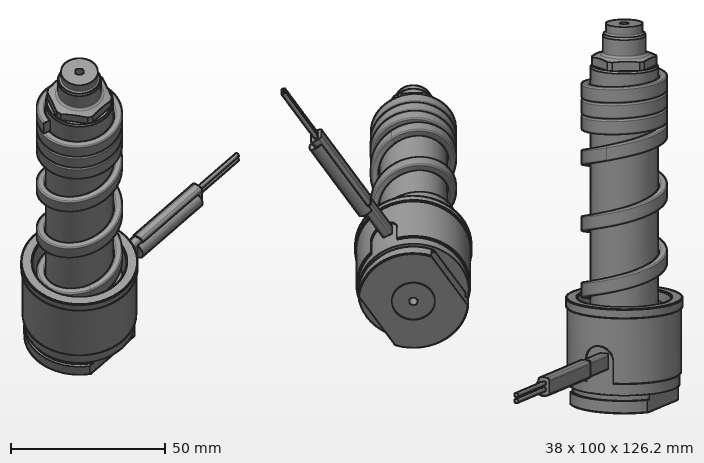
import cadquery as cq
import math

overall_height = 126.2
bore_diameter = 2.8

boss_radius = 7.0
boss_height = 0.3
core_radius = 18.0
base_disc_top = 4.5
base_edge_chamfer = 0.3
neck_radius = 17.0
core_bottom = 6.4
flats_width = 28.0

housing_radius = 18.55
housing_bottom = 10.2
flange_radius = 19.0
flange_bottom = 32.05
housing_top = 35.3
housing_chamfer = 0.3
pocket_radius = 15.2
pocket_rim_chamfer = 0.4

cable_axis_z = 17.5
slot_radius = 5.0

tube_radius = 11.0
tube_top = 112.4
tube_chamfer_height = 0.7
tube_chamfer_width = 0.4
hex_flats = 19.0
hex_corner_radius = 10.5
hex_cone_bottom = 115.2
collar_radius = 7.05
collar_fillet = 0.8
collar_foot = 116.05
collar_top = 122.1
collar_bevel_height = 0.8
tip_radius = 6.0
tip_fillet = 0.7

spring_outer_radius = 13.93
wire_width = 2.6
wire_height = 5.0
wire_fillet = 0.5
close_pitch = 5.27
open_pitch = 22.0
close_turns = 3.0 + 12 / 360
change_turns = 150 / 360
open_turns = 2.35
spring_end_angle = 253.5
spring_end_z = 107.25

cable_axis_x = -1.45
cable_width = 3.4
cable_height = 5.4
cable_fillet = 0.7
sleeve_wall = 0.3
sleeve_start = 31.0
sleeve_length = 30.0
shrink_radius = 2.75
shrink_x = -0.2
shrink_z = 16.45
shrink_start = 28.9
lead_diameter = 1.5
lead_spacing = 2.0
lead_end = 81.0

tip_foot = collar_top + collar_bevel_height
collar_shoulder_radius = tip_radius + tip_fillet

spring_inner_radius = spring_outer_radius - wire_width
spring_mid_radius = (spring_outer_radius + spring_inner_radius) / 2
mean_change_pitch = (close_pitch + open_pitch) / 2
spring_turns = 2 * (close_turns + change_turns) + open_turns
spring_rise = 2 * (close_turns * close_pitch + change_turns * mean_change_pitch) + open_turns * open_pitch
spring_start_z = spring_end_z - spring_rise
spring_start_angle = spring_end_angle - 360 * spring_turns
wire_bedding = 0.2
pocket_floor = spring_start_z - wire_height / 2 + wire_bedding


def disc(radius, bottom, top):
    """Upright cylinder on the part axis."""
    return cq.Workplane("XY").workplane(offset=bottom).circle(radius).extrude(top - bottom)


def base():
    """Core with a grooved bottom disc that has two flats across X."""
    foot = disc(core_radius, boss_height, base_disc_top).faces("<Z").chamfer(base_edge_chamfer)
    foot = foot.union(disc(neck_radius, base_disc_top, core_bottom))
    between_flats = cq.Workplane("XY").box(flats_width, 2 * flange_radius, 2 * core_bottom)
    foot = foot.intersect(between_flats)
    return foot.union(disc(boss_radius, 0, boss_height)).union(disc(core_radius, core_bottom, flange_bottom))


def housing():
    """Flanged shell with the arched cable slot on +Y."""
    shell = disc(housing_radius, housing_bottom, flange_bottom).faces("<Z").chamfer(housing_chamfer)
    slot_height = cable_axis_z - housing_bottom
    slot = (
        cq.Workplane("XZ", origin=(0, 0, cable_axis_z))
        .moveTo(-slot_radius, -slot_height)
        .lineTo(-slot_radius, 0)
        .threePointArc((0, slot_radius), (slot_radius, 0))
        .lineTo(slot_radius, -slot_height)
        .close()
        .extrude(-flange_radius)
        .cut(disc(core_radius, housing_bottom, flange_bottom))
    )
    flange = disc(flange_radius, flange_bottom, housing_top).faces(">Z or <Z").chamfer(housing_chamfer)
    return shell.cut(slot).union(flange)


def pocket():
    """Round spring pocket with a chamfered rim."""
    well = disc(pocket_radius, pocket_floor, housing_top)
    rim = (
        disc(pocket_radius + pocket_rim_chamfer, housing_top - pocket_rim_chamfer, housing_top)
        .faces("<Z")
        .chamfer(pocket_rim_chamfer * 0.999)
    )
    return well.union(rim)


def stem_tube():
    """Plain tube with a beveled top edge."""
    tube = disc(tube_radius, pocket_floor, tube_top)
    return tube.faces(">Z").chamfer(tube_chamfer_height, tube_chamfer_width)


def hexagon():
    """Hexagon with corners toward +Y and -Y, rounded corners and a conical top."""
    hex_corners = hex_flats / math.cos(math.pi / 6)
    prism = (
        cq.Workplane("XY", origin=(0, 0, tube_top))
        .transformed(rotate=(0, 0, 90))
        .polygon(6, hex_corners)
        .extrude(collar_foot - tube_top)
    )
    envelope = (
        cq.Workplane("XZ")
        .moveTo(0, tube_top)
        .lineTo(hex_corner_radius, tube_top)
        .lineTo(hex_corner_radius, hex_cone_bottom)
        .lineTo(collar_radius + collar_fillet, collar_foot)
        .lineTo(0, collar_foot)
        .close()
        .revolve(360, (0, 0), (0, 1))
    )
    return prism.intersect(envelope)


def collar_and_tip():
    """Collar and tip, each flowing into the shoulder below through a concave fillet."""
    lean = 1 - math.sqrt(0.5)
    return (
        cq.Workplane("XZ")
        .moveTo(0, collar_foot)
        .lineTo(collar_radius + collar_fillet, collar_foot)
        .threePointArc(
            (collar_radius + collar_fillet * lean, collar_foot + collar_fillet * lean),
            (collar_radius, collar_foot + collar_fillet),
        )
        .lineTo(collar_radius, collar_top)
        .lineTo(collar_shoulder_radius, tip_foot)
        .threePointArc(
            (tip_radius + tip_fillet * lean, tip_foot + tip_fillet * lean),
            (tip_radius, tip_foot + tip_fillet),
        )
        .lineTo(tip_radius, overall_height)
        .lineTo(0, overall_height)
        .close()
        .revolve(360, (0, 0), (0, 1))
    )


def wire_section(path):
    """Rounded wire section, upright and radial, at the start of a path on the +X axis."""
    section = cq.Sketch().rect(wire_width, wire_height).vertices().fillet(wire_fillet)
    return cq.Workplane("XZ", origin=path.startPoint().toTuple()).placeSketch(section)


def even_coil(turns, pitch):
    """Right-handed coil of constant pitch that starts on the +X axis at Z = 0."""
    path = cq.Wire.makeHelix(pitch, turns * pitch, spring_mid_radius)
    return wire_section(path).sweep(cq.Workplane(path), isFrenet=True)


def changing_coil(turns, first_pitch, last_pitch):
    """Right-handed coil whose pitch varies linearly, starting on the +X axis at Z = 0."""
    turn_angle = 2 * math.pi

    def path_point(t):
        rise = first_pitch * t + (last_pitch - first_pitch) * t**2 / (2 * turns)
        angle = turn_angle * t
        return cq.Vector(spring_mid_radius * math.cos(angle), spring_mid_radius * math.sin(angle), rise)

    def path_direction(t, pitch):
        speed = turn_angle * spring_mid_radius
        angle = turn_angle * t
        return cq.Vector(-speed * math.sin(angle), speed * math.cos(angle), pitch)

    intervals = 12
    points = [path_point(turns * i / intervals) for i in range(intervals + 1)]
    end_directions = [path_direction(0, first_pitch), path_direction(turns, last_pitch)]
    edge = cq.Edge.makeSpline(points, tangents=end_directions)
    path = cq.Wire.assembleEdges([edge])
    guide = path.translate(cq.Vector(0, 0, wire_height))
    return wire_section(path).sweep(cq.Workplane(path), auxSpine=cq.Workplane(guide))


def spring():
    """Flat-wire spring: close, widening, open, narrowing and close coils end to end."""
    close_coil = even_coil(close_turns, close_pitch)
    stretches = [
        (close_coil, close_turns, close_pitch),
        (changing_coil(change_turns, close_pitch, open_pitch), change_turns, mean_change_pitch),
        (even_coil(open_turns, open_pitch), open_turns, open_pitch),
        (changing_coil(change_turns, open_pitch, close_pitch), change_turns, mean_change_pitch),
        (close_coil, close_turns, close_pitch),
    ]
    sewing_tolerance = 0.005
    skin = []
    end_faces = []
    angle = spring_start_angle
    z = spring_start_z
    for coil, turns, pitch in stretches:
        placed = coil.rotate((0, 0, 0), (0, 0, 1), angle).translate((0, 0, z))
        skin += placed.faces("not %PLANE").vals()
        end_faces += placed.faces("%PLANE").vals()
        angle += 360 * turns
        z += turns * pitch
    end_faces.sort(key=lambda face: face.Center().z)
    skin += [end_faces[0], end_faces[-1]]
    closed_skin = cq.occ_impl.shapes.shell(*skin, tol=sewing_tolerance)
    return cq.Workplane(cq.Solid.makeSolid(closed_skin))


def along_y(x, z, start):
    """Workplane facing -Y at the given start; its solids grow toward +Y with a negative length."""
    return cq.Workplane("XZ", origin=(x, start, z))


def cable():
    """Flat cable with its sleeve, shrink tube and two wires."""
    cable_start = core_radius - 1.0
    jacket = (
        along_y(cable_axis_x, cable_axis_z, cable_start)
        .rect(cable_width, cable_height)
        .extrude(cable_start - sleeve_start)
        .edges("|Y")
        .fillet(cable_fillet)
    )
    sleeve = (
        along_y(cable_axis_x, cable_axis_z, sleeve_start)
        .rect(cable_width + 2 * sleeve_wall, cable_height + 2 * sleeve_wall)
        .extrude(-sleeve_length)
        .edges("|Y")
        .fillet(cable_fillet + sleeve_wall)
    )
    shrink_tube = along_y(shrink_x, shrink_z, shrink_start).circle(shrink_radius).extrude(-sleeve_length)
    sleeve_end = sleeve_start + sleeve_length
    leads = (
        along_y(cable_axis_x, cable_axis_z, sleeve_end)
        .pushPoints([(0, -lead_spacing / 2), (0, lead_spacing / 2)])
        .circle(lead_diameter / 2)
        .extrude(sleeve_end - lead_end)
    )
    return jacket.union(sleeve).union(shrink_tube).union(leads)


body = base().union(housing()).union(cable()).cut(pocket())
stem = stem_tube().union(hexagon()).union(collar_and_tip())
body = body.union(stem).cut(disc(bore_diameter / 2, 0, overall_height))
result = cq.Workplane(body.union(spring(), clean=False).solids().val())